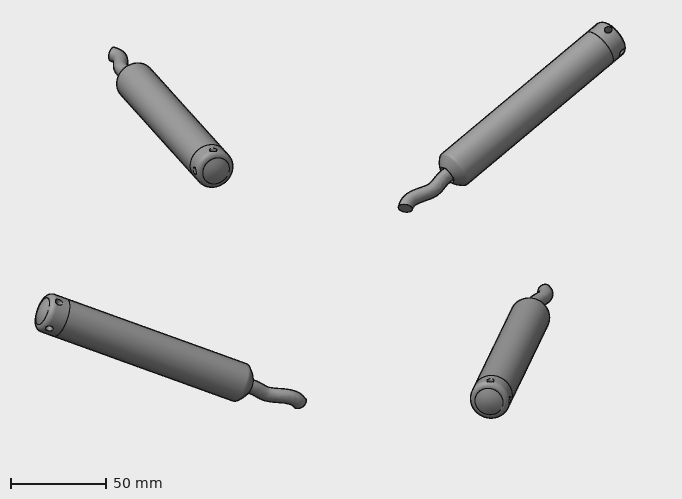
import cadquery as cq
import math


total_length = 157.92
cap_end_x = 125.5

body_diameter = 21.0
shoulder_diameter = 20.0
nose_face_diameter = 10.0
nose_length = 4.3
nose_bulge = 0.35
shoulder_length = 1.4
housing_end_x = 113.0
barrel_start_x = nose_length + shoulder_length

cable_diameter = 7.6
cable_straight_end_x = -1.0
cable_trough = (-11.6, -1.25)
cable_crest = (-24.0, 2.6)
cable_tip_y = 0.8
cable_tip_angle = 36.5
socket_depth = barrel_start_x

cap_straight_length = 7.6
rim_radius = 3.0

cross_hole_diameter = 3.3
cross_hole_mouth_radius = 0.75
cross_hole_x = 119.6


def make_housing():
    """Solid barrel with a rounded nose and a flared socket for the cable."""
    face_radius = nose_face_diameter / 2
    shoulder_radius = shoulder_diameter / 2
    body_radius = body_diameter / 2

    chord_rise = shoulder_radius - face_radius
    chord_length = math.hypot(nose_length, chord_rise)
    nose_mid = (
        nose_length / 2 - nose_bulge * chord_rise / chord_length,
        face_radius + chord_rise / 2 + nose_bulge * nose_length / chord_length,
    )

    shoulder_rise = body_radius - shoulder_radius
    round_radius = (shoulder_length**2 + shoulder_rise**2) / (2 * shoulder_rise)
    half_length = shoulder_length / 2
    shoulder_mid = (
        nose_length + half_length,
        body_radius - round_radius + math.sqrt(round_radius**2 - half_length**2),
    )

    socket_radius = cable_diameter / 2
    flare_depth = face_radius - socket_radius
    return (
        cq.Workplane("XY")
        .moveTo(0, face_radius)
        .threePointArc(nose_mid, (nose_length, shoulder_radius))
        .threePointArc(shoulder_mid, (barrel_start_x, body_radius))
        .lineTo(housing_end_x, body_radius)
        .lineTo(housing_end_x, 0)
        .lineTo(socket_depth, 0)
        .lineTo(socket_depth, socket_radius)
        .lineTo(flare_depth, socket_radius)
        .close()
        .revolve(360, (0, 0), (1, 0))
    )


def make_cable():
    """Round cable, straight inside the socket and then waving in the XY plane."""
    tip_angle = math.radians(cable_tip_angle)
    tip_edge_x = cap_end_x - total_length
    tip_x = tip_edge_x + cable_diameter / 2 * math.sin(tip_angle)
    path = (
        cq.Workplane("XY")
        .moveTo(socket_depth, 0)
        .lineTo(cable_straight_end_x, 0)
        .spline(
            [cable_trough, cable_crest, (tip_x, cable_tip_y)],
            tangents=[(-1, 0), (-math.cos(tip_angle), -math.sin(tip_angle))],
            includeCurrent=True,
        )
    )
    return (
        cq.Workplane("YZ", origin=(socket_depth, 0, 0))
        .circle(cable_diameter / 2)
        .sweep(path)
    )


def make_half_hole_cutter(cap_radius):
    """Cutter along +Z from the axis for half a cross hole, with a rounded mouth at the cap surface."""
    hole_radius = cross_hole_diameter / 2
    mouth = cross_hole_mouth_radius
    flare_start = cap_radius - mouth
    arc_offset = mouth * math.sqrt(0.5)
    return (
        cq.Workplane("XZ")
        .lineTo(hole_radius, 0)
        .lineTo(hole_radius, flare_start)
        .threePointArc(
            (hole_radius + mouth - arc_offset, flare_start + arc_offset),
            (hole_radius + mouth, cap_radius),
        )
        .lineTo(hole_radius + mouth, body_diameter)
        .lineTo(0, body_diameter)
        .close()
        .revolve(360, (0, 0), (0, 1))
    )


def make_cap():
    """Cylindrical cap with a quarter-round rim, a shallow domed end and two crossing through holes."""
    dome_edge_radius = body_diameter / 2 - rim_radius
    rim_start_x = housing_end_x + cap_straight_length
    dome_height = cap_end_x - rim_start_x - rim_radius
    dome_radius = (dome_height**2 + dome_edge_radius**2) / (2 * dome_height)
    cap = (
        cq.Workplane("XY")
        .moveTo(housing_end_x, 0)
        .lineTo(housing_end_x, body_diameter / 2)
        .lineTo(rim_start_x, body_diameter / 2)
        .tangentArcPoint((cap_end_x - dome_height, dome_edge_radius), relative=False)
        .radiusArc((cap_end_x, 0), dome_radius)
        .close()
        .revolve(360, (0, 0), (1, 0))
    )
    half_hole = make_half_hole_cutter(body_diameter / 2)
    for turn in (0, 90, 180, 270):
        cutter = half_hole.rotate((0, 0, 0), (1, 0, 0), turn)
        cap = cap.cut(cutter.translate((cross_hole_x, 0, 0)))
    return cap


housing = make_housing()
cable = make_cable()
cap = make_cap()

result = cq.Compound.makeCompound([housing.val(), cable.val(), cap.val()])